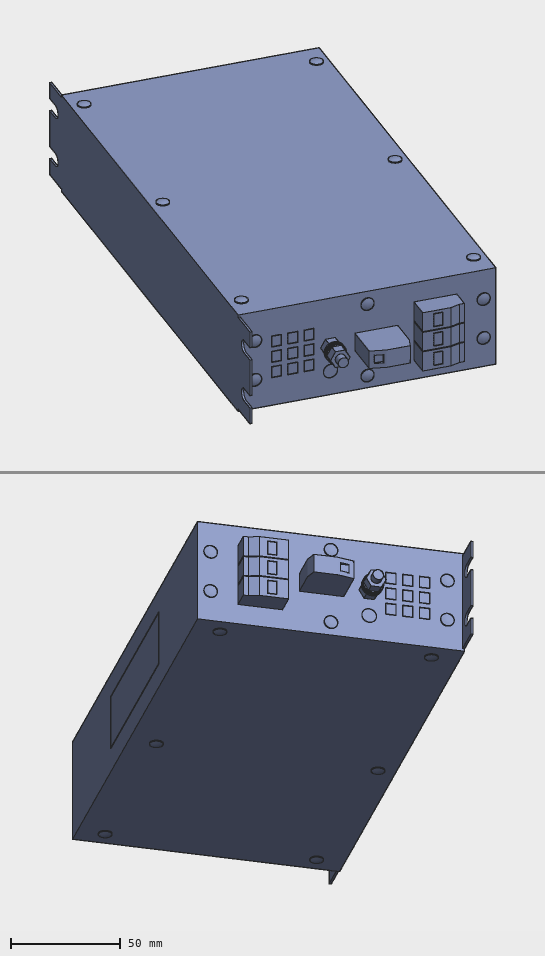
import cadquery as cq
import math

overall_length = 265.0
overall_depth = 126.1
overall_height = 52.2
body_length = 224.7
label_thickness = 0.3
screw_head_height = 1.0
body_height = overall_height - 2 * screw_head_height
body_depth = overall_depth - label_thickness
front_y = -overall_depth / 2
end_x = body_length / 2
top_z = body_height / 2

plate_length = 254.7
plate_height = 47.7
plate_thickness = 1.0
slot_width = 6.4
slot_length = 10.5
slot_z = 12.5

label_length = 86.5
label_height = 26.5

screw_head_diameter = 6.4
screw_rim_height = 0.5
cover_screw_pitch = 100.0
cover_screw_y = 56.7
base_corner_x = 103.0
base_corner_y = 49.8
base_middle_x = 11.0
base_middle_front_y = -54.5
end_screw_front_y = -54.9
end_screw_back_y = 56.7
end_screw_low_z = 10.0
end_screw_mid_z = 18.5

terminal_reach = 11.0
terminal_back_y = 43.7
terminal_front_y = 22.8
terminal_lip = 2.5
terminal_slope_end_y = 36.5
terminal_slope_rise = 1.5
terminal_pitch = 10.0
terminal_count = 3
parting_groove = 0.3
terminal_window_y = 30.5
terminal_window_width = 4.2
terminal_window_height = 6.5

plug_reach = overall_length / 2 - end_x
plug_back_y = 14.8
plug_front_y = -6.0
plug_height = 9.0
plug_back_taper = 1.5
plug_back_taper_length = 5.3
plug_slope_y = 1.9
plug_slope_drop = 1.9
plug_window_y = -1.5
plug_window_size = 4.2
plug_window_depth = plug_slope_drop

stud_y = -18.0
stud_diameter = 5.0
stud_reach = 16.7
nut_across_corners = 9.5
nut_thickness = 4.8
large_washer_diameter = 9.8
small_washer_diameter = 9.3
washer_thickness = 1.0
earth_mark_z = -12.7
earth_mark_diameter = 7.0
earth_mark_thickness = 0.3

vent_pitch = 8.0
vent_centre_y = -36.3
vent_width = 4.8
vent_height = 5.5
vent_rows = 3
vent_columns = 3

pocket_depth = 0.5


def screw_head():
    """Short cylindrical rim with a spherical dome, standing on the XY plane."""
    rim = screw_head_diameter / 2
    dome_height = screw_head_height - screw_rim_height
    dome_radius = (rim**2 + dome_height**2) / (2 * dome_height)
    arc_x = rim / 2
    arc_z = screw_head_height - dome_radius + math.sqrt(dome_radius**2 - arc_x**2)
    return (
        cq.Workplane("XZ")
        .lineTo(rim, 0)
        .lineTo(rim, screw_rim_height)
        .threePointArc((arc_x, arc_z), (0, screw_head_height))
        .close()
        .revolve(360, (0, 0, 0), (0, 1, 0))
    )


def end_plane(y=0.0, z=0.0, reach=0.0):
    """Workplane on the +X end: local x runs along Y, local y along Z, normal outwards."""
    return cq.Workplane("YZ", origin=(end_x + reach, y, z))


def mounting_plate():
    plate = cq.Workplane("XY").box(plate_length, plate_thickness, plate_height)
    for side in (-1, 1):
        for z in (-slot_z, slot_z):
            slot = (
                cq.Workplane("XZ", origin=(side * plate_length / 2, 0, z))
                .slot2D(2 * slot_length, slot_width)
                .extrude(plate_thickness, both=True)
            )
            plate = plate.cut(slot)
    return plate.translate((0, front_y + plate_thickness / 2, 0))


def terminal_block():
    height = terminal_count * terminal_pitch
    shoulder = end_x + terminal_reach - terminal_slope_rise
    tip = end_x + terminal_reach
    outline = [
        (end_x, terminal_back_y),
        (shoulder, terminal_back_y),
        (shoulder, terminal_back_y - terminal_lip),
        (tip, terminal_slope_end_y),
        (tip, terminal_front_y),
        (end_x, terminal_front_y),
    ]
    block = cq.Workplane("XY", origin=(0, 0, -height / 2)).polyline(outline).close().extrude(height)
    windows = (
        end_plane(y=terminal_window_y, reach=terminal_reach)
        .rarray(2.6, terminal_pitch, 1, terminal_count)
        .rect(terminal_window_width, terminal_window_height)
        .extrude(-pocket_depth)
    )
    block = block.cut(windows)
    core = (
        cq.Workplane("XY", origin=(0, 0, -height / 2))
        .polyline(outline)
        .close()
        .offset2D(-parting_groove)
        .extrude(height)
    )
    seams = (
        end_plane(y=(terminal_back_y + terminal_front_y) / 2)
        .rarray(2.6, terminal_pitch, 1, terminal_count - 1)
        .rect(terminal_back_y - terminal_front_y, parting_groove)
        .extrude(terminal_reach)
    )
    return block.cut(seams.cut(core))


def plug_housing():
    tip = end_x + plug_reach
    outline = [
        (end_x, plug_back_y),
        (tip - plug_back_taper_length, plug_back_y),
        (tip, plug_back_y - plug_back_taper),
        (tip, plug_slope_y),
        (tip - plug_slope_drop, plug_front_y),
        (end_x, plug_front_y),
    ]
    base = cq.Workplane("XY", origin=(0, 0, -plug_height / 2))
    housing = base.polyline(outline).close().extrude(plug_height)
    window = (
        end_plane(y=plug_window_y, reach=plug_reach)
        .rect(plug_window_size, plug_window_size)
        .extrude(-plug_window_depth)
    )
    return housing.cut(window)


def earth_stud():
    washer_diameters = [large_washer_diameter, small_washer_diameter, large_washer_diameter]
    outer_nut_start = nut_thickness + len(washer_diameters) * washer_thickness
    stud = end_plane(y=stud_y).circle(stud_diameter / 2).extrude(stud_reach)
    for start in (0, outer_nut_start):
        nut = end_plane(y=stud_y, reach=start).polygon(6, nut_across_corners).extrude(nut_thickness)
        stud = stud.union(nut)
    for i, diameter in enumerate(washer_diameters):
        start = nut_thickness + i * washer_thickness
        washer = end_plane(y=stud_y, reach=start).circle(diameter / 2).extrude(washer_thickness)
        stud = stud.union(washer)
    return stud


def earth_mark():
    """Thin round disc below the earth stud."""
    return (
        end_plane(y=stud_y, z=earth_mark_z)
        .circle(earth_mark_diameter / 2)
        .extrude(earth_mark_thickness)
    )


def end_screws():
    positions = [(0, z) for z in (-end_screw_mid_z, end_screw_mid_z)]
    for y in (end_screw_front_y, end_screw_back_y):
        positions += [(y, z) for z in (-end_screw_low_z, end_screw_low_z)]
    head = screw_head().rotate((0, 0, 0), (0, 1, 0), 90)
    return [head.translate((end_x, y, z)) for y, z in positions]


def vents():
    return (
        end_plane(y=vent_centre_y)
        .rarray(vent_pitch, vent_pitch, vent_columns, vent_rows)
        .rect(vent_width, vent_height)
        .extrude(-pocket_depth)
    )


def on_both_ends(shape):
    return [shape, shape.mirror("YZ")]


body = cq.Workplane("XY").box(body_length, body_depth, body_height)
body = body.translate((0, -label_thickness / 2, 0))
body = body.union(mounting_plate())
label = cq.Workplane("XY").box(label_length, label_thickness, label_height)
body = body.union(label.translate((0, (overall_depth - label_thickness) / 2, 0)))

for fitting in [terminal_block(), plug_housing(), earth_stud(), earth_mark(), *end_screws()]:
    for shape in on_both_ends(fitting):
        body = body.union(shape)
for shape in on_both_ends(vents()):
    body = body.cut(shape)

cover_head = screw_head()
base_head = cover_head.mirror("XY")
cover_places = [(i * cover_screw_pitch, j * cover_screw_y) for i in (-1, 0, 1) for j in (-1, 1)]
base_places = [(i * base_corner_x, j * base_corner_y) for i in (-1, 1) for j in (-1, 1)]
base_places += [(base_middle_x, base_corner_y), (base_middle_x, base_middle_front_y)]
for x, y in cover_places:
    body = body.union(cover_head.translate((x, y, top_z)))
for x, y in base_places:
    body = body.union(base_head.translate((x, y, -top_z)))

result = body